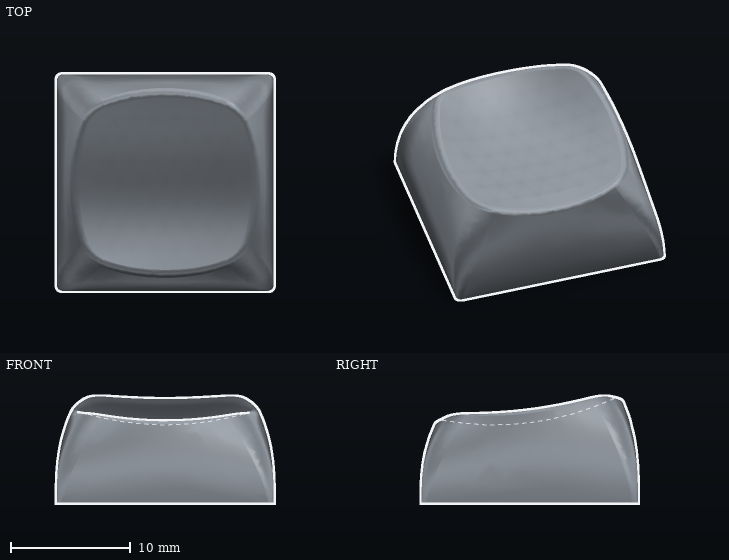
import cadquery as cq
import math

WIDTH = 18.3
DEPTH = 18.26
BASE_CORNER = 0.55

RIM_HEIGHT = 8.18
RIM_SLOPE = 0.11
RIM_LEAN = 2.3
RIM_BULGE = 0.8
RIM_SHORTENING = 3.35

LEAN_POWER = 2.5
BULGE_POWER = 2.0
SHORTEN_POWER = 1.4

SECTION_LEVELS = (0.0, 0.2, 0.4, 0.6, 0.8, 1.0, 1.2)

STRAIGHT_TOLERANCE = 1.83e-07

DISH_RADIUS = 23.79
DISH_FLOOR = 6.77
DISH_SLOPE = 0.126
RIM_FILLET = 0.62


def section(level):
    """Closed outline of four bowed walls and four round corners on a tilted plane."""
    lean = RIM_LEAN * level**LEAN_POWER
    bulge = RIM_BULGE * level**BULGE_POWER
    shorten = BASE_CORNER + RIM_SHORTENING * level**SHORTEN_POWER

    def point(x, y):
        return cq.Vector(x, y, level * (RIM_HEIGHT + RIM_SLOPE * y))

    wall_x = WIDTH / 2 - lean
    wall_y = DEPTH / 2 - lean
    end_x = WIDTH / 2 - shorten
    end_y = DEPTH / 2 - shorten

    wall_angle = 2 * math.atan(bulge / end_x)
    corner_sweep = math.pi / 2 - 2 * wall_angle
    half_chord = math.hypot(wall_x - end_x, wall_y - end_y) / 2
    corner_bow = half_chord * math.tan(corner_sweep / 4) / math.sqrt(2)
    corner_x = (wall_x + end_x) / 2 + corner_bow
    corner_y = (wall_y + end_y) / 2 + corner_bow

    outline = [
        (wall_x, -end_y), (wall_x + bulge, 0), (wall_x, end_y), (corner_x, corner_y),
        (end_x, wall_y), (0, wall_y + bulge), (-end_x, wall_y), (-corner_x, corner_y),
        (-wall_x, end_y), (-wall_x - bulge, 0), (-wall_x, -end_y), (-corner_x, -corner_y),
        (-end_x, -wall_y), (0, -wall_y - bulge), (end_x, -wall_y), (corner_x, -corner_y),
    ]
    points = [point(x, y) for x, y in outline]
    points.append(points[0])

    edges = []
    for start, middle, end in zip(points[0::2], points[1::2], points[2::2]):
        if (start + end).multiply(0.5).sub(middle).Length < STRAIGHT_TOLERANCE:
            edges.append(cq.Edge.makeLine(start, end))
        else:
            edges.append(cq.Edge.makeThreePointArc(start, middle, end))
    return cq.Wire.assembleEdges(edges)


body = cq.Workplane(cq.Solid.makeLoft([section(level) for level in SECTION_LEVELS]))

dish_y = -DISH_RADIUS * math.sin(math.atan(DISH_SLOPE))
dish_z = DISH_FLOOR + math.sqrt(DISH_RADIUS**2 - dish_y**2)
dish = cq.Workplane("XY").sphere(DISH_RADIUS).rotate((0, 0, 0), (1, 0, 0), 90)
dish = dish.translate((0, dish_y, dish_z))
body = body.cut(dish)

dish_face = cq.selectors.NearestToPointSelector((0, 0, DISH_FLOOR))
result = body.faces(dish_face).edges().fillet(RIM_FILLET).solids()